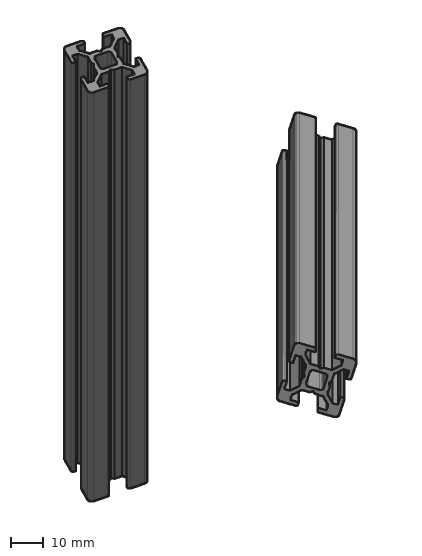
import cadquery as cq
import math

side = 20.0
length = 200.0
corner_radius = 1.5

slot_opening = 6.2
lip_thickness = 1.5
lip_radius = 0.7
cavity_width = 11.5

core_side = 9.0
rib_thickness = 1.5

groove_width = 1.8
groove_depth = 0.5

bore_side = 5.5
bore_radius = 1.0

slot_count = 4
outer_face = side / 2
lip_underside = outer_face - lip_thickness
slot_floor = core_side / 2
half_opening = slot_opening / 2
half_cavity = cavity_width / 2
rib_offset = rib_thickness / 2 * math.sqrt(2)


def make_bar():
    bar = cq.Workplane("XY").rect(side, side).extrude(length)
    return bar.edges("|Z").fillet(corner_radius)


def make_slot():
    """T-slot in the +Y side, with rounded mouth edges and a grooved floor."""
    half_floor = slot_floor - rib_offset
    cavity_shoulder = half_cavity + rib_offset
    lip_round_start = outer_face - lip_radius
    return (
        cq.Workplane("XY")
        .moveTo(0, slot_floor - groove_depth)
        .lineTo(groove_width / 2, slot_floor)
        .lineTo(half_floor, slot_floor)
        .lineTo(half_cavity, cavity_shoulder)
        .lineTo(half_cavity, lip_underside)
        .lineTo(half_opening, lip_underside)
        .lineTo(half_opening, lip_round_start)
        .radiusArc((half_opening + lip_radius, outer_face), lip_radius)
        .lineTo(0, outer_face)
        .mirrorY()
        .extrude(length)
    )


def make_bore():
    bore = cq.Workplane("XY").rect(bore_side, bore_side).extrude(length)
    return bore.edges("|Z").fillet(bore_radius)


result = make_bar().cut(make_bore())
slot = make_slot()
for index in range(slot_count):
    angle = index * 360 / slot_count
    result = result.cut(slot.rotate((0, 0, 0), (0, 0, 1), angle))